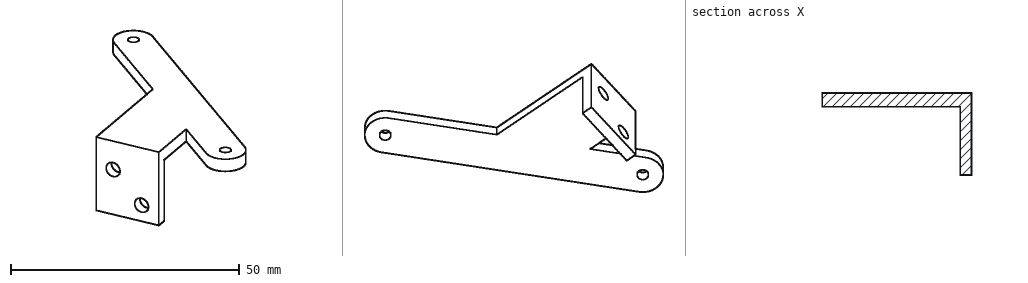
import cadquery as cq
import math

length_x = 52.0
depth_y = 50.2
height_z = 18.0

arm_width = 9.0
arm_thickness = 3.0
arm_hole_diameter = 2.5
low_end_y = 7.8

stem_left = 19.55
stem_width = 15.6
flange_thickness = 2.5
flange_hole_diameter = 3.4
flange_hole_pitch = 7.05
first_hole_inset = 4.2
first_hole_drop = 6.95

arm_radius = arm_width / 2
high_end = (arm_radius, depth_y - arm_radius)
low_end = (length_x - arm_radius, low_end_y)
arm_dx = low_end[0] - high_end[0]
arm_dy = low_end[1] - high_end[1]
arm_spacing = math.hypot(arm_dx, arm_dy)
arm_angle = math.degrees(math.atan2(arm_dy, arm_dx))
arm_middle = ((high_end[0] + low_end[0]) / 2, (high_end[1] + low_end[1]) / 2)
stem_right = stem_left + stem_width


def arm_axis_y(x):
    """Y of the arm's centre line at a given X."""
    return high_end[1] + (x - high_end[0]) * arm_dy / arm_dx


def make_arm():
    return (
        cq.Workplane("XY")
        .center(*arm_middle)
        .slot2D(arm_spacing + arm_width, arm_width, arm_angle)
        .extrude(-arm_thickness)
    )


def make_stem():
    """Flat stem whose sloped far end lies on the arm's centre line."""
    return (
        cq.Workplane("XY")
        .moveTo(stem_left, 0)
        .lineTo(stem_right, 0)
        .lineTo(stem_right, arm_axis_y(stem_right))
        .lineTo(stem_left, arm_axis_y(stem_left))
        .close()
        .extrude(-arm_thickness)
    )


def make_flange():
    return cq.Workplane("XY").box(stem_width, flange_thickness, height_z, centered=False).translate(
        (stem_left, 0, -height_z)
    )


def make_arm_holes():
    return (
        cq.Workplane("XY")
        .pushPoints([high_end, low_end])
        .circle(arm_hole_diameter / 2)
        .extrude(-arm_thickness)
    )


def make_flange_holes():
    """Two holes on a diagonal, stepping right and down."""
    first_x = stem_left + first_hole_inset
    centres = [
        (first_x + step * flange_hole_pitch, -first_hole_drop - step * flange_hole_pitch)
        for step in range(2)
    ]
    return (
        cq.Workplane("XZ")
        .pushPoints(centres)
        .circle(flange_hole_diameter / 2)
        .extrude(-flange_thickness)
    )


bracket = make_arm().union(make_stem()).union(make_flange())
result = bracket.cut(make_arm_holes()).cut(make_flange_holes())